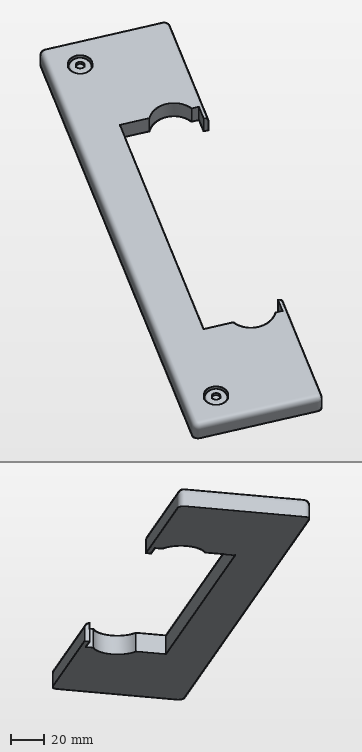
import cadquery as cq

length = 320.0
width = 82.0
height = 12.0
edge_radius = 4.0

opening_length = 172.8
rail_width = 28.8
lip_gap = 153.5
lip_thickness = 3.2
relief_radius = 15.0
relief_center_x = 79.5
relief_center_y = width / 2 - 21.0

screw_x = 140.0
screw_y = -width / 2 + 20.0
recess_diameter = 15.0
recess_depth = 4.5
head_diameter = 14.0
head_height = 4.0
head_edge_radius = 2.0
socket_diameter = 5.5
socket_depth = 2.0


def make_plate():
    """Solid plate with rounded corners and a rounded top edge."""
    block = cq.Workplane("XY").box(length, width, height, centered=(True, True, False))
    return block.edges("|Z").fillet(edge_radius).faces(">Z").edges().fillet(edge_radius)


def make_opening():
    """Main opening, round side reliefs and the gap between the rear lips."""
    front_y = -width / 2 + rail_width
    back_y = width / 2 - lip_thickness
    opening = cq.Workplane("XY").box(
        opening_length, back_y - front_y, height, centered=(True, False, False)
    ).translate((0, front_y, 0))
    reliefs = (
        cq.Workplane("XY")
        .pushPoints([(side * relief_center_x, relief_center_y) for side in (-1, 1)])
        .circle(relief_radius)
        .extrude(height)
    )
    gap = cq.Workplane("XY").box(
        lip_gap, width / 2 - front_y, height, centered=(True, False, False)
    ).translate((0, front_y, 0))
    return opening.union(reliefs).union(gap)


def make_screw_head():
    """Round head with a domed rim and a central socket, standing on Z = 0."""
    head = cq.Workplane("XY").circle(head_diameter / 2).extrude(head_height)
    head = head.faces(">Z").edges().fillet(head_edge_radius)
    socket = (
        cq.Workplane("XY", origin=(0, 0, head_height - socket_depth))
        .circle(socket_diameter / 2)
        .extrude(socket_depth)
    )
    return head.cut(socket)


result = make_plate().cut(make_opening())

recess_floor = height - recess_depth
for side in (-1, 1):
    seat = (side * screw_x, screw_y, recess_floor)
    recess = cq.Workplane("XY", origin=seat).circle(recess_diameter / 2).extrude(recess_depth)
    result = result.cut(recess).union(make_screw_head().translate(seat))